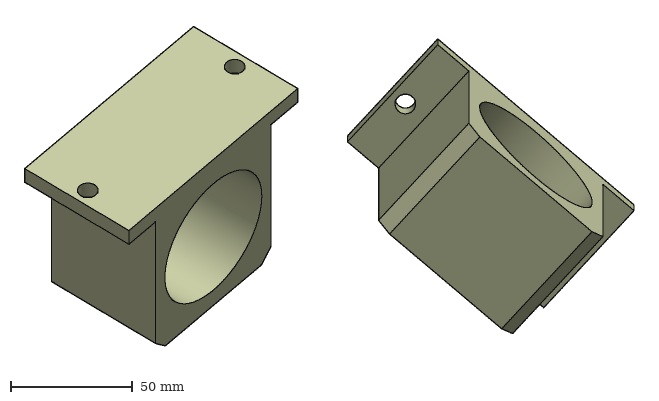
import cadquery as cq

length_x = 56.0
flange_width = 108.0
height = 85.0

flange_thickness = 8.0
mount_hole_diameter = 8.4
mount_hole_edge_distance = 7.0
mount_hole_spacing = flange_width - 2 * mount_hole_edge_distance

block_width = 73.8
block_height = height - flange_thickness
bottom_chamfer = 6.0
bore_diameter = 62.0
bore_center_height = 40.0


def make_block():
    """Housing block standing on Z = 0, with its two lower long edges chamfered."""
    block = cq.Workplane("XY").box(length_x, block_width, block_height, centered=(True, True, False))
    return block.faces("<Z").edges("|X").chamfer(bottom_chamfer)


def make_flange():
    """Mounting plate on top of the block, with a hole near each end."""
    plate = (
        cq.Workplane("XY")
        .workplane(offset=block_height)
        .box(length_x, flange_width, flange_thickness, centered=(True, True, False))
    )
    hole_positions = [(0, -mount_hole_spacing / 2), (0, mount_hole_spacing / 2)]
    return plate.faces(">Z").workplane().pushPoints(hole_positions).hole(mount_hole_diameter)


def make_bore():
    """Cylinder along X that passes through the whole block."""
    return (
        cq.Workplane("YZ", origin=(-length_x / 2, 0, 0))
        .center(0, bore_center_height)
        .circle(bore_diameter / 2)
        .extrude(length_x)
    )


result = make_block().union(make_flange()).cut(make_bore())